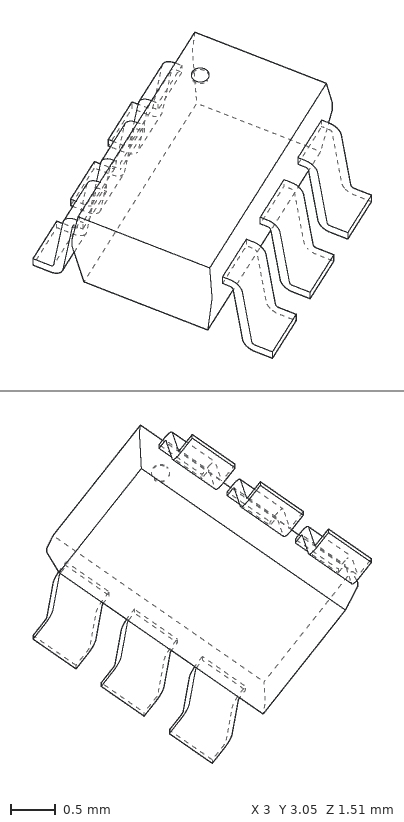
import cadquery as cq
import math

HOUSING_LENGTH = 3.05
HOUSING_WIDTH = 1.75
HOUSING_BOTTOM = 0.302
HOUSING_TOP = 1.51
UPPER_DRAFT = 7.5
LOWER_DRAFT = 8.0

LEAD_SPAN = 3.0
LEAD_TOP = 1.125
LEAD_THICKNESS = 0.12
LEAD_WIDTH = 0.6
LEAD_PITCH = 0.952
LEADS_PER_SIDE = 3
LEAD_TILT = 8.0
INNER_BEND = 0.04
OUTER_BEND = INNER_BEND + LEAD_THICKNESS
SHOULDER_LENGTH = 0.09

BAND_TOP = LEAD_TOP
BAND_BOTTOM = LEAD_TOP - LEAD_THICKNESS

MARKER_DIAMETER = 0.2
MARKER_DEPTH = 0.03
MARKER_X = -0.497
MARKER_Y = LEAD_PITCH


def make_marker():
    return (
        cq.Workplane("XY", origin=(MARKER_X, MARKER_Y, HOUSING_TOP - MARKER_DEPTH))
        .circle(MARKER_DIAMETER / 2)
        .extrude(MARKER_DEPTH)
    )


def housing_layer(start, height, taper=0.0):
    """Rectangular block from a start height; a negative height builds downward."""
    return (
        cq.Workplane("XY", origin=(0, 0, start))
        .rect(HOUSING_WIDTH, HOUSING_LENGTH)
        .extrude(height, taper=taper)
    )


def make_housing():
    band = housing_layer(BAND_BOTTOM, LEAD_THICKNESS)
    upper = housing_layer(BAND_TOP, HOUSING_TOP - BAND_TOP, UPPER_DRAFT)
    lower = housing_layer(BAND_BOTTOM, HOUSING_BOTTOM - BAND_BOTTOM, LOWER_DRAFT)
    solid = band.union(upper).union(lower).cut(make_marker())
    return solid.val().Solids()[0]


def on_circle(center, radius, degrees):
    angle = math.radians(degrees)
    return (center[0] + radius * math.cos(angle), center[1] + radius * math.sin(angle))


def make_lead():
    """Gull-wing lead on the +X side, centred on Y = 0."""
    wall_x = HOUSING_WIDTH / 2
    tip_x = LEAD_SPAN / 2
    tilt = math.radians(LEAD_TILT)

    upper_center = (wall_x + SHOULDER_LENGTH, LEAD_TOP - OUTER_BEND)
    lower_z = OUTER_BEND
    center_drop = upper_center[1] - lower_z
    center_gap = INNER_BEND + OUTER_BEND
    lower_x = upper_center[0] + (center_gap + center_drop * math.sin(tilt)) / math.cos(tilt)
    lower_center = (lower_x, lower_z)

    upper_start, upper_end = 90.0, LEAD_TILT
    lower_start, lower_end = 180.0 + LEAD_TILT, 270.0
    upper_middle = (upper_start + upper_end) / 2
    lower_middle = (lower_start + lower_end) / 2

    profile = (
        cq.Workplane("XZ")
        .moveTo(wall_x, LEAD_TOP)
        .lineTo(*on_circle(upper_center, OUTER_BEND, upper_start))
        .threePointArc(
            on_circle(upper_center, OUTER_BEND, upper_middle),
            on_circle(upper_center, OUTER_BEND, upper_end),
        )
        .lineTo(*on_circle(lower_center, INNER_BEND, lower_start))
        .threePointArc(
            on_circle(lower_center, INNER_BEND, lower_middle),
            on_circle(lower_center, INNER_BEND, lower_end),
        )
        .lineTo(tip_x, LEAD_THICKNESS)
        .lineTo(tip_x, 0)
        .lineTo(*on_circle(lower_center, OUTER_BEND, lower_end))
        .threePointArc(
            on_circle(lower_center, OUTER_BEND, lower_middle),
            on_circle(lower_center, OUTER_BEND, lower_start),
        )
        .lineTo(*on_circle(upper_center, INNER_BEND, upper_end))
        .threePointArc(
            on_circle(upper_center, INNER_BEND, upper_middle),
            on_circle(upper_center, INNER_BEND, upper_start),
        )
        .lineTo(wall_x, BAND_BOTTOM)
        .close()
    )
    return profile.extrude(LEAD_WIDTH / 2, both=True)


def make_leads():
    right_lead = make_lead()
    left_lead = right_lead.rotate((0, 0, 0), (0, 0, 1), 180)
    leads = []
    for index in range(LEADS_PER_SIDE):
        y = (index - (LEADS_PER_SIDE - 1) / 2) * LEAD_PITCH
        for lead in (left_lead, right_lead):
            leads.append(lead.translate((0, y, 0)).val())
    return leads


housing = make_housing()
marker = make_marker()
leads = make_leads()

result = cq.Compound.makeCompound([housing, marker.val(), *leads])